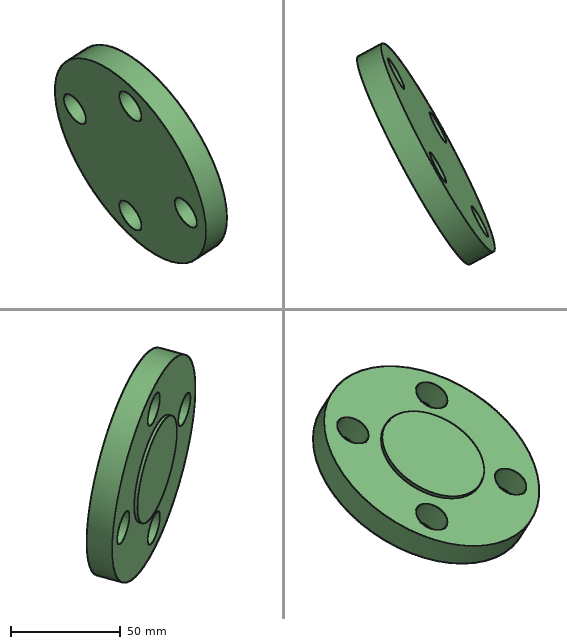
import cadquery as cq

flange_diameter = 108.0
total_thickness = 14.1
raised_face_height = 1.6
raised_face_diameter = 51.1
bolt_circle_diameter = 79.2
bolt_hole_diameter = 15.8
bolt_hole_count = 4

plate_thickness = total_thickness - raised_face_height


def disc(diameter, start_y, thickness):
    """Solid disc on the Y axis, growing toward +Y from start_y."""
    plane = cq.Workplane("XZ", origin=(0, start_y, 0))
    return plane.circle(diameter / 2).extrude(-thickness)


plate = disc(flange_diameter, 0, plate_thickness)
raised_face = disc(raised_face_diameter, plate_thickness, raised_face_height)

bolt_holes = (
    cq.Workplane("XZ")
    .polarArray(bolt_circle_diameter / 2, 0, 360, bolt_hole_count)
    .circle(bolt_hole_diameter / 2)
    .extrude(-plate_thickness)
)

result = plate.union(raised_face).cut(bolt_holes)